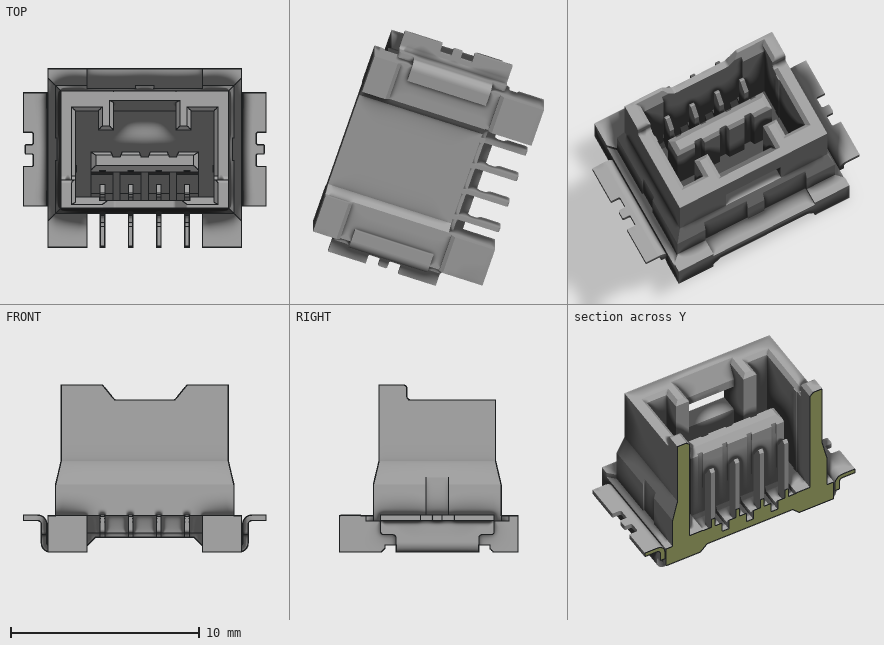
import cadquery as cq
import math

BASE_HALF_X = 5.15
BASE_HALF_Y = 4.75
BASE_TOP = 1.95
FOOT_INNER_X = 3.06
CHANNEL_TOP = 0.79
CHANNEL_CHAMFER = 0.44
PANEL_FRONT_Y = -2.4
PANEL_STEP_Y = -2.15
PANEL_STEP_Z = 1.03
LEDGE_Z = 1.65
ARCH_TOP = 0.38
ARCH_CHAMFER = 0.2
ARCH_HALF_Y = 2.785

UPPER_HALF_X = 4.45
UPPER_FRONT_Y = -2.65
UPPER_BACK_Y = 3.56
FLARE = 0.3
LOWER_HALF_X = UPPER_HALF_X + FLARE
LOWER_FRONT_Y = UPPER_FRONT_Y - FLARE
LOWER_BACK_Y = UPPER_BACK_Y + FLARE
FLARE_BOTTOM = 3.58
FLARE_TOP = 4.85
RIM_Z = 8.1
FRONT_Z = 8.9
STEP_Y = -1.16
STEP_RADIUS = 0.2
NOTCH_HALF_TOP = 2.25
NOTCH_HALF_BOTTOM = 1.6
NOTCH_RADIUS = 0.2
NOTCH_TOP_RADIUS = 0.11

SIDE_RECESS_X = 4.66
SIDE_RECESS_TOP = 4.01
SIDE_RECESS_WIDTH = 1.19
BACK_RECESS_Y = 3.69
BACK_RIB_HALF_X = 0.49

FLOOR_Z = BASE_TOP
CAVITY_HALF_X = 3.68
CAVITY_FRONT_Y = -2.08
CAVITY_BACK_Y = 2.51
RIM_CHAMFER = 0.21
FRONT_BEVEL_Y = -2.47
FRONT_BEVEL_DEPTH = 0.63
RIB_INNER_X = 1.665
RIB_OUTER_X = 2.47
RIB_FRONT_Y = 1.5
MID_BEVEL_Y = 3.07
MID_BEVEL_DEPTH = 1.04
WINDOW_BOTTOM = 4.85
WINDOW_TOP = 6.52
BEAD_X = 3.64
BEAD_BACK_Y = -0.39
BEAD_FRONT_Y = -0.73

TONGUE_HALF_X = 2.856
TONGUE_TOP = 6.44
TONGUE_BACK_Y = 0.32
TONGUE_FRONT_Y = -0.75
TONGUE_FOOT_Y = -0.87
TONGUE_FOOT_Z = 1.85
TONGUE_BACK_CHAMFER = 0.17
TONGUE_SIDE_CHAMFER = 0.25
TONGUE_FRONT_CHAMFER = 0.36
KEY_Y = 0.066
KEY_HALF_OUTER = 0.3
KEY_HALF_INNER = 0.19
BAY_FLOOR_Z = 1.6
BAY_FRONT_Y = -1.88
WALL_RECESS_Y = -2.27
WALL_FOOT_HEIGHT = 0.35
GROOVE_WIDTH = 0.39
GROOVE_FLOOR_Z = 1.3

PITCH = 1.5
PIN_COUNT = 4
PIN_WIDTH = 0.25
PIN_SLOT_WIDTH = 0.3
PIN_X = [PITCH * (i - (PIN_COUNT - 1) / 2) for i in range(PIN_COUNT)]
GROOVE_X = [PITCH * (i - (PIN_COUNT - 2) / 2) for i in range(PIN_COUNT - 1)]
SOLDER_Z = 1.98
TAIL_BOTTOM = 1.03
TAIL_RADIUS = 0.17
TAIL_CHAMFER = 0.08
DIP_FRONT_Y = -3.64
DIP_MID_Y = -3.56
DIP_MID_Z = 1.85
DIP_FLOOR_Y = -3.43
DIP_BACK_Y = -3.05
DIP_Z = 1.6
ROOT_TOP = 1.8
POST_FRONT_Y = -2.06
POST_SHOULDER_Z = 2.5
POST_TOP = 6.0
POST_CHAMFER = 0.13
POST_PEAK_Y = -1.87
POST_TIP_Y = -1.5
POST_TIP_Z = 5.4
POST_BACK_Y = -1.41
PIN_SLOT_TOP = 6.0
PIN_SLOT_BACK_Y = -0.66

CLIP_OUTER_X = 6.45
CLIP_WALL_X = 5.205
CLIP_THICKNESS = 0.3
CLIP_BEND = 0.2
CLIP_MID_Y = 0.46
CLIP_HALF_WIDE = 3.02
CLIP_HALF_NARROW = 2.2
CLIP_STEP_Z = 0.93
CLIP_STEP_RADIUS = 0.17
CLIP_ANCHOR_X = 4.4
CLIP_ANCHOR_TOP = 0.825
CLIP_SLOT_X = 5.93
CLIP_SLOT_OUTER = 0.905
CLIP_TAB_HALF = 0.255
CLIP_TAB_X = 6.36
CLIP_CORNER_RADIUS = 0.08


def block(x0, x1, y0, y1, z0, z1):
    return cq.Workplane("XY").box(x1 - x0, y1 - y0, z1 - z0, centered=False).translate((x0, y0, z0))


def along_x(points, x0, x1):
    """Prism along X from an outline of (y, z) points."""
    return cq.Workplane("YZ").polyline(points).close().extrude(x1 - x0).translate((x0, 0, 0))


def along_y(points, y0, y1):
    """Prism along Y from an outline of (x, z) points."""
    return cq.Workplane("XZ").polyline(points).close().extrude(y0 - y1).translate((0, y0, 0))


def frustum(x0, x1, y0, y1, z0, z1, grow):
    """Rectangle at z0 that grows by the same amount on every side up to z1."""
    length = x1 - x0
    depth = y1 - y0
    return (
        cq.Workplane("XY", origin=((x0 + x1) / 2, (y0 + y1) / 2, z0))
        .rect(length, depth)
        .workplane(offset=z1 - z0)
        .rect(length + 2 * grow, depth + 2 * grow)
        .loft(ruled=True)
    )


def make_base():
    base = block(-BASE_HALF_X, BASE_HALF_X, -BASE_HALF_Y, BASE_HALF_Y, 0, BASE_TOP)
    channel_half = FOOT_INNER_X - CHANNEL_CHAMFER
    channel = [
        (-FOOT_INNER_X, 0),
        (-FOOT_INNER_X, CHANNEL_TOP - CHANNEL_CHAMFER),
        (-channel_half, CHANNEL_TOP),
        (channel_half, CHANNEL_TOP),
        (FOOT_INNER_X, CHANNEL_TOP - CHANNEL_CHAMFER),
        (FOOT_INNER_X, 0),
    ]
    base = base.cut(along_y(channel, -BASE_HALF_Y, BASE_HALF_Y))
    front_gap = [
        (-BASE_HALF_Y, 0),
        (PANEL_STEP_Y, 0),
        (PANEL_STEP_Y, PANEL_STEP_Z),
        (PANEL_FRONT_Y, PANEL_STEP_Z),
        (PANEL_FRONT_Y, BASE_TOP),
        (-BASE_HALF_Y, BASE_TOP),
    ]
    base = base.cut(along_x(front_gap, -FOOT_INNER_X, FOOT_INNER_X))
    base = base.cut(block(-FOOT_INNER_X, FOOT_INNER_X, BACK_RECESS_Y, BASE_HALF_Y, LEDGE_Z, BASE_TOP))
    arch_y = ARCH_HALF_Y + ARCH_CHAMFER
    arch = [
        (CLIP_MID_Y - arch_y, 0),
        (CLIP_MID_Y - ARCH_HALF_Y, ARCH_CHAMFER),
        (CLIP_MID_Y - ARCH_HALF_Y, ARCH_TOP),
        (CLIP_MID_Y + ARCH_HALF_Y, ARCH_TOP),
        (CLIP_MID_Y + ARCH_HALF_Y, ARCH_CHAMFER),
        (CLIP_MID_Y + arch_y, 0),
    ]
    base = base.cut(along_x(arch, -BASE_HALF_X, BASE_HALF_X))
    ledge_run = BASE_HALF_X - LOWER_HALF_X
    for side in (-1, 1):
        ledge = (
            cq.Workplane("XY", origin=(0, 0, LEDGE_Z))
            .moveTo(side * LOWER_HALF_X, LOWER_FRONT_Y)
            .lineTo(side * BASE_HALF_X, LOWER_FRONT_Y - ledge_run)
            .lineTo(side * BASE_HALF_X, LOWER_BACK_Y + ledge_run)
            .lineTo(side * LOWER_HALF_X, LOWER_BACK_Y)
            .close()
            .extrude(BASE_TOP - LEDGE_Z)
        )
        base = base.cut(ledge)
    return base


def make_shell():
    lower = block(-LOWER_HALF_X, LOWER_HALF_X, LOWER_FRONT_Y, LOWER_BACK_Y, BASE_TOP, FLARE_BOTTOM)
    flare = frustum(
        -LOWER_HALF_X, LOWER_HALF_X, LOWER_FRONT_Y, LOWER_BACK_Y, FLARE_BOTTOM, FLARE_TOP, -FLARE
    )
    upper = block(-UPPER_HALF_X, UPPER_HALF_X, UPPER_FRONT_Y, UPPER_BACK_Y, FLARE_TOP, FRONT_Z)
    step = (
        cq.Workplane("YZ", origin=(-UPPER_HALF_X, 0, 0))
        .moveTo(UPPER_BACK_Y, RIM_Z)
        .lineTo(STEP_Y + STEP_RADIUS, RIM_Z)
        .radiusArc((STEP_Y, RIM_Z + STEP_RADIUS), STEP_RADIUS)
        .lineTo(STEP_Y, FRONT_Z - STEP_RADIUS)
        .radiusArc((STEP_Y - STEP_RADIUS, FRONT_Z), -STEP_RADIUS)
        .lineTo(UPPER_BACK_Y, FRONT_Z)
        .close()
        .extrude(2 * UPPER_HALF_X)
    )
    shell = lower.union(flare).union(upper).cut(step)
    for side in (-1, 1):
        x0, x1 = sorted((side * BACK_RIB_HALF_X, side * FOOT_INNER_X))
        shell = shell.cut(block(x0, x1, BACK_RECESS_Y, LOWER_BACK_Y, BASE_TOP, FLARE_TOP))
    return shell


def make_side_recesses():
    recesses = cq.Workplane("XY")
    back_y = CLIP_MID_Y + SIDE_RECESS_WIDTH / 2
    front_y = CLIP_MID_Y - SIDE_RECESS_WIDTH / 2
    for side in (-1, 1):
        x0, x1 = sorted((side * SIDE_RECESS_X, side * LOWER_HALF_X))
        recesses = recesses.union(block(x0, x1, front_y, back_y, LEDGE_Z, SIDE_RECESS_TOP))
    return recesses


def make_pocket(x0, x1, back_y):
    """Part of the cavity behind the rim step, chamfered at the rim."""
    straight = block(x0, x1, STEP_Y, back_y, FLOOR_Z, RIM_Z)
    mouth = frustum(x0, x1, STEP_Y, back_y, RIM_Z - RIM_CHAMFER, RIM_Z, RIM_CHAMFER)
    return straight.union(mouth)


def make_cavity():
    """Mating cavity with its two guide ribs left standing and its rim chamfers."""
    cavity = make_pocket(-CAVITY_HALF_X, CAVITY_HALF_X, RIB_FRONT_Y)
    cavity = cavity.union(make_pocket(-CAVITY_HALF_X, -RIB_OUTER_X, CAVITY_BACK_Y))
    cavity = cavity.union(make_pocket(RIB_OUTER_X, CAVITY_HALF_X, CAVITY_BACK_Y))
    cavity = cavity.union(make_pocket(-RIB_INNER_X, RIB_INNER_X, CAVITY_BACK_Y))
    cavity = cavity.cut(block(-UPPER_HALF_X, UPPER_HALF_X, UPPER_FRONT_Y, STEP_Y, FLOOR_Z, FRONT_Z))

    mouth_half = CAVITY_HALF_X + RIM_CHAMFER
    mouth_section = [
        (-CAVITY_HALF_X, FLOOR_Z),
        (-CAVITY_HALF_X, FRONT_Z - RIM_CHAMFER),
        (-mouth_half, FRONT_Z),
        (mouth_half, FRONT_Z),
        (CAVITY_HALF_X, FRONT_Z - RIM_CHAMFER),
        (CAVITY_HALF_X, FLOOR_Z),
    ]
    front_end_y = STEP_Y + STEP_RADIUS
    front_section = [
        (CAVITY_FRONT_Y, FLOOR_Z),
        (CAVITY_FRONT_Y, FRONT_Z - FRONT_BEVEL_DEPTH),
        (FRONT_BEVEL_Y, FRONT_Z),
        (front_end_y, FRONT_Z),
        (front_end_y, FLOOR_Z),
    ]
    front = along_x(front_section, -mouth_half, mouth_half).intersect(
        along_y(mouth_section, UPPER_FRONT_Y, front_end_y)
    )
    bevel_section = [
        (RIB_FRONT_Y, RIM_Z),
        (MID_BEVEL_Y, RIM_Z),
        (CAVITY_BACK_Y, RIM_Z - MID_BEVEL_DEPTH),
        (RIB_FRONT_Y, RIM_Z - MID_BEVEL_DEPTH),
    ]
    bevel_half = RIB_INNER_X + RIM_CHAMFER
    bevel_mouth = [
        (-RIB_INNER_X, FLOOR_Z),
        (-RIB_INNER_X, RIM_Z - RIM_CHAMFER),
        (-bevel_half, RIM_Z),
        (bevel_half, RIM_Z),
        (RIB_INNER_X, RIM_Z - RIM_CHAMFER),
        (RIB_INNER_X, FLOOR_Z),
    ]
    bevel = along_x(bevel_section, -bevel_half, bevel_half).intersect(
        along_y(bevel_mouth, RIB_FRONT_Y, MID_BEVEL_Y)
    )
    window = block(-RIB_INNER_X, RIB_INNER_X, RIB_FRONT_Y, LOWER_BACK_Y, WINDOW_BOTTOM, WINDOW_TOP)
    return cavity.union(front).union(bevel).union(window)


def make_notch():
    """Notch in the raised front wall, with rounded corners."""
    flank_angle = math.atan2(FRONT_Z - RIM_Z, NOTCH_HALF_TOP - NOTCH_HALF_BOTTOM)
    tangent = NOTCH_TOP_RADIUS * math.tan(flank_angle / 2)
    lip_x = NOTCH_HALF_TOP + tangent
    flank_x = NOTCH_HALF_TOP - tangent * math.cos(flank_angle)
    flank_z = FRONT_Z - tangent * math.sin(flank_angle)
    notch = (
        cq.Workplane("XZ", origin=(0, STEP_Y, 0))
        .moveTo(-lip_x, FRONT_Z)
        .radiusArc((-flank_x, flank_z), NOTCH_TOP_RADIUS)
        .lineTo(-NOTCH_HALF_BOTTOM, RIM_Z)
        .lineTo(NOTCH_HALF_BOTTOM, RIM_Z)
        .lineTo(flank_x, flank_z)
        .radiusArc((lip_x, FRONT_Z), NOTCH_TOP_RADIUS)
        .close()
        .extrude(STEP_Y - UPPER_FRONT_Y)
    )
    return notch.edges("|Y").edges("<Z").fillet(NOTCH_RADIUS)


def make_beads():
    beads = cq.Workplane("XY")
    for side in (-1, 1):
        x0, x1 = sorted((side * BEAD_X, side * CAVITY_HALF_X))
        beads = beads.union(block(x0, x1, BEAD_FRONT_Y, BEAD_BACK_Y, FLOOR_Z, RIM_Z - RIM_CHAMFER))
    return beads


def make_tongue():
    section = [
        (TONGUE_FOOT_Y, BAY_FLOOR_Z),
        (TONGUE_FRONT_Y, TONGUE_FOOT_Z),
        (TONGUE_FRONT_Y, TONGUE_TOP - TONGUE_FRONT_CHAMFER),
        (TONGUE_FRONT_Y + TONGUE_FRONT_CHAMFER, TONGUE_TOP),
        (TONGUE_BACK_Y - TONGUE_BACK_CHAMFER, TONGUE_TOP),
        (TONGUE_BACK_Y, TONGUE_TOP - TONGUE_SIDE_CHAMFER),
        (TONGUE_BACK_Y, BAY_FLOOR_Z),
    ]
    top_half = TONGUE_HALF_X - TONGUE_SIDE_CHAMFER
    elevation = [
        (-TONGUE_HALF_X, BAY_FLOOR_Z),
        (-TONGUE_HALF_X, TONGUE_TOP - TONGUE_SIDE_CHAMFER),
        (-top_half, TONGUE_TOP),
        (top_half, TONGUE_TOP),
        (TONGUE_HALF_X, TONGUE_TOP - TONGUE_SIDE_CHAMFER),
        (TONGUE_HALF_X, BAY_FLOOR_Z),
    ]
    tongue = along_x(section, -TONGUE_HALF_X, TONGUE_HALF_X).intersect(
        along_y(elevation, TONGUE_FOOT_Y, TONGUE_BACK_Y)
    )
    for x in GROOVE_X:
        key = (
            cq.Workplane("XY", origin=(x, 0, FLOOR_Z))
            .moveTo(-KEY_HALF_OUTER, TONGUE_BACK_Y)
            .lineTo(-KEY_HALF_INNER, KEY_Y)
            .lineTo(KEY_HALF_INNER, KEY_Y)
            .lineTo(KEY_HALF_OUTER, TONGUE_BACK_Y)
            .close()
            .extrude(TONGUE_TOP - FLOOR_Z)
        )
        tongue = tongue.cut(key)
    return tongue


def make_bay():
    """Sunken contact bay in front of the tongue."""
    section = [
        (TONGUE_FRONT_Y, FLOOR_Z),
        (TONGUE_FRONT_Y, BAY_FLOOR_Z),
        (BAY_FRONT_Y, BAY_FLOOR_Z),
        (CAVITY_FRONT_Y, FLOOR_Z),
    ]
    return along_x(section, -TONGUE_HALF_X, TONGUE_HALF_X)


def make_wall_recess():
    """Shallow recess in the front wall, in front of the contacts, with a sloped foot."""
    section = [
        (CAVITY_FRONT_Y, FLOOR_Z),
        (WALL_RECESS_Y, FLOOR_Z + WALL_FOOT_HEIGHT),
        (WALL_RECESS_Y, FRONT_Z),
        (CAVITY_FRONT_Y, FRONT_Z),
    ]
    half_width = PIN_X[-1] + PIN_SLOT_WIDTH / 2
    return along_x(section, -half_width, half_width)


def make_slots():
    """Grooves between the contacts and a sloped notch in the tongue behind each contact."""
    slots = cq.Workplane("XY")
    half_groove = GROOVE_WIDTH / 2
    half_slot = PIN_SLOT_WIDTH / 2
    for x in GROOVE_X:
        slots = slots.union(
            block(x - half_groove, x + half_groove, WALL_RECESS_Y, TONGUE_FRONT_Y, GROOVE_FLOOR_Z, RIM_Z)
        )
    notch = [
        (PIN_SLOT_BACK_Y, TONGUE_TOP),
        (PIN_SLOT_BACK_Y, PIN_SLOT_TOP),
        (TONGUE_FRONT_Y, TONGUE_FOOT_Z),
        (TONGUE_FRONT_Y, TONGUE_TOP),
    ]
    for x in PIN_X:
        slots = slots.union(along_x(notch, x - half_slot, x + half_slot))
    return slots


def make_pin(x):
    """Contact blade: solder tail, dip, root through the base and upright tip."""
    front = -BASE_HALF_Y
    outline = (
        cq.Workplane("YZ", origin=(x - PIN_WIDTH / 2, 0, 0))
        .moveTo(front, TAIL_BOTTOM + TAIL_RADIUS)
        .lineTo(front, SOLDER_Z - TAIL_CHAMFER)
        .lineTo(front + TAIL_CHAMFER, SOLDER_Z)
        .lineTo(DIP_FRONT_Y, SOLDER_Z)
        .lineTo(DIP_MID_Y, DIP_MID_Z)
        .lineTo(DIP_FLOOR_Y, DIP_Z)
        .lineTo(DIP_BACK_Y, DIP_Z)
        .lineTo(LOWER_FRONT_Y, ROOT_TOP)
        .lineTo(WALL_RECESS_Y, ROOT_TOP)
        .lineTo(WALL_RECESS_Y, POST_SHOULDER_Z)
        .lineTo(POST_FRONT_Y, POST_SHOULDER_Z)
        .lineTo(POST_FRONT_Y, POST_TOP - POST_CHAMFER)
        .lineTo(POST_FRONT_Y + POST_CHAMFER, POST_TOP)
        .lineTo(POST_PEAK_Y, POST_TOP)
        .lineTo(POST_TIP_Y, POST_TIP_Z)
        .lineTo(POST_BACK_Y, POST_TIP_Z - POST_CHAMFER)
        .lineTo(POST_BACK_Y, CHANNEL_TOP)
        .lineTo(PANEL_FRONT_Y, CHANNEL_TOP)
        .lineTo(PANEL_FRONT_Y, TAIL_BOTTOM)
        .lineTo(front + TAIL_RADIUS, TAIL_BOTTOM)
        .radiusArc((front, TAIL_BOTTOM + TAIL_RADIUS), TAIL_RADIUS)
        .close()
    )
    return outline.extrude(PIN_WIDTH)


def make_clip():
    """Sheet-metal hold-down on the +X side, anchored under the base."""
    under_z = SOLDER_Z - CLIP_THICKNESS
    outer_bend = CLIP_BEND + CLIP_THICKNESS
    wall_out = CLIP_WALL_X + CLIP_THICKNESS
    anchor_outer_x = CLIP_ANCHOR_X + CLIP_THICKNESS
    sheet = (
        cq.Workplane("XZ")
        .moveTo(CLIP_OUTER_X, SOLDER_Z)
        .lineTo(CLIP_WALL_X + outer_bend, SOLDER_Z)
        .radiusArc((CLIP_WALL_X, SOLDER_Z - outer_bend), -outer_bend)
        .lineTo(CLIP_WALL_X, outer_bend)
        .radiusArc((CLIP_WALL_X - CLIP_BEND, CLIP_THICKNESS), CLIP_BEND)
        .lineTo(anchor_outer_x, CLIP_THICKNESS)
        .lineTo(anchor_outer_x, CLIP_ANCHOR_TOP)
        .lineTo(CLIP_ANCHOR_X, CLIP_ANCHOR_TOP)
        .lineTo(CLIP_ANCHOR_X, 0)
        .lineTo(wall_out - outer_bend, 0)
        .radiusArc((wall_out, outer_bend), -outer_bend)
        .lineTo(wall_out, SOLDER_Z - outer_bend)
        .radiusArc((wall_out + CLIP_BEND, under_z), CLIP_BEND)
        .lineTo(CLIP_OUTER_X, under_z)
        .close()
        .extrude(CLIP_HALF_WIDE, both=True)
    )
    length = CLIP_OUTER_X - CLIP_ANCHOR_X
    wide = cq.Workplane("XY").box(length, 2 * CLIP_HALF_WIDE, SOLDER_Z - CLIP_STEP_Z)
    wide = wide.translate((0, 0, (SOLDER_Z + CLIP_STEP_Z) / 2)).edges("|X and <Z").fillet(CLIP_STEP_RADIUS)
    narrow = cq.Workplane("XY").box(length, 2 * CLIP_HALF_NARROW, SOLDER_Z)
    front = wide.union(narrow.translate((0, 0, SOLDER_Z / 2)))
    margin = CLIP_STEP_RADIUS / 2
    step_corners = cq.selectors.BoxSelector(
        (-length, -CLIP_HALF_NARROW - margin, CLIP_STEP_Z - margin),
        (length, CLIP_HALF_NARROW + margin, CLIP_STEP_Z + margin),
    )
    front = front.edges(step_corners).edges("|X").fillet(CLIP_STEP_RADIUS)
    sheet = sheet.intersect(front.translate((CLIP_ANCHOR_X + length / 2, 0, 0)))

    opening = block(CLIP_SLOT_X, CLIP_OUTER_X, CLIP_TAB_HALF, CLIP_SLOT_OUTER, under_z, SOLDER_Z)
    opening = opening.edges("|Z and <X").fillet(CLIP_CORNER_RADIUS)
    openings = opening.union(opening.mirror("XZ"))
    tip = block(CLIP_TAB_X - CLIP_TAB_HALF, CLIP_OUTER_X, -CLIP_TAB_HALF, CLIP_TAB_HALF, under_z, SOLDER_Z)
    tab = block(CLIP_SLOT_X, CLIP_TAB_X, -CLIP_TAB_HALF, CLIP_TAB_HALF, under_z, SOLDER_Z)
    tip = tip.cut(tab.edges("|Z and >X").fillet(CLIP_CORNER_RADIUS))
    return sheet.cut(openings).cut(tip).translate((0, CLIP_MID_Y, 0))


def make_part():
    part = make_base().union(make_shell())
    for removed in (make_side_recesses(), make_cavity(), make_notch(), make_bay(), make_wall_recess()):
        part = part.cut(removed)
    part = part.union(make_beads()).union(make_tongue()).cut(make_slots())
    for x in PIN_X:
        part = part.union(make_pin(x))
    clip = make_clip()
    return part.union(clip).union(clip.mirror("YZ"))


result = make_part()